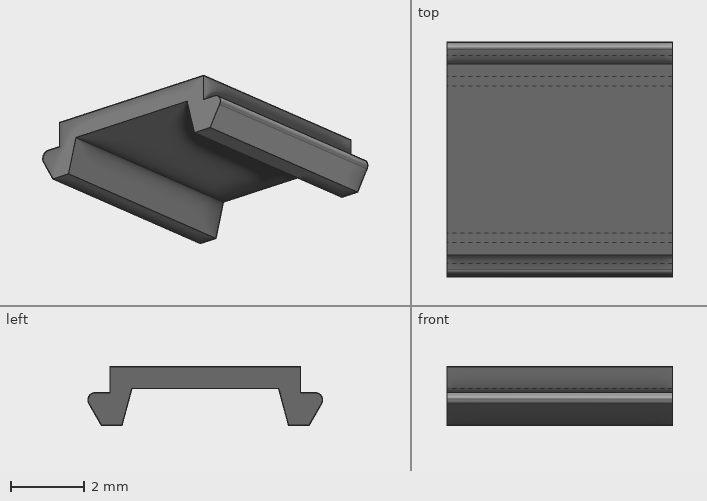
import cadquery as cq
import math

length = 6.15
width = 6.4
height = 1.6

plate_width = 5.2
plate_thickness = 0.6

inner_width = 4.0
inner_angle = 15.0
outer_angle = 30.0
ledge_height = 0.89
nose_radius = 0.2

half_plate = plate_width / 2
half_inner = inner_width / 2
ceiling_height = height - plate_thickness
inner_foot = half_inner + ceiling_height * math.tan(math.radians(inner_angle))

nose_y = width / 2 - nose_radius
nose_z = ledge_height - nose_radius
lean = math.radians(outer_angle)


def nose_point(angle):
    """Point on the nose arc, with the angle in radians above horizontal."""
    return (nose_y + nose_radius * math.cos(angle), nose_z + nose_radius * math.sin(angle))


nose_end = nose_point(-lean)
outer_foot = nose_end[0] - nose_end[1] * math.tan(lean)


def half_section():
    """Half of the cross-section in the YZ plane, on the +Y side, extruded along X."""
    return (
        cq.Workplane("YZ")
        .moveTo(0, height)
        .lineTo(half_plate, height)
        .lineTo(half_plate, ledge_height)
        .lineTo(nose_y, ledge_height)
        .threePointArc(nose_point(0), nose_end)
        .lineTo(outer_foot, 0)
        .lineTo(inner_foot, 0)
        .lineTo(half_inner, ceiling_height)
        .lineTo(0, ceiling_height)
        .close()
        .extrude(length / 2, both=True)
    )


half_cover = half_section()
result = half_cover.union(half_cover.mirror("XZ")).clean()